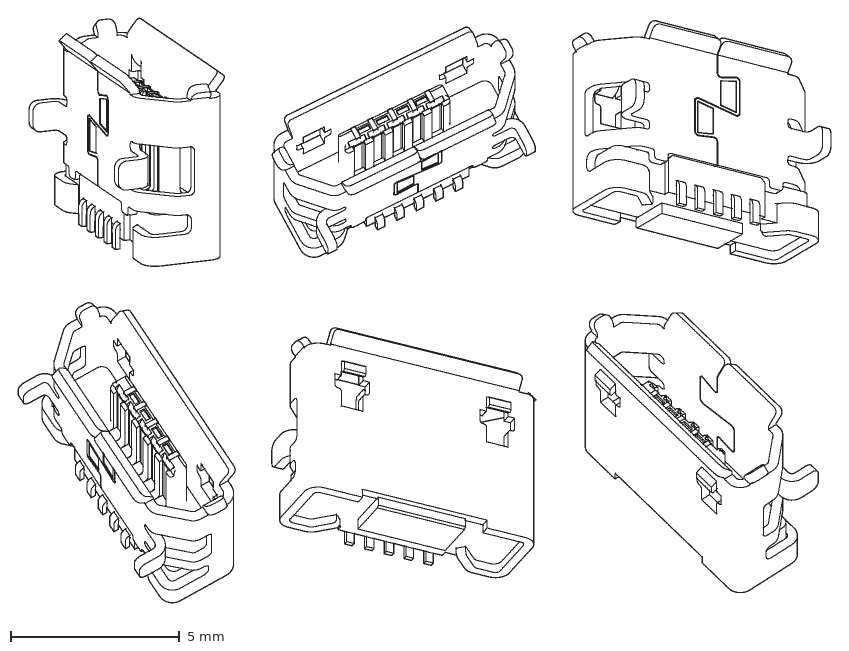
import cadquery as cq
import math


sheet = 0.3
inner_bend = sheet / 2
outer_bend = inner_bend + sheet
half_width = 3.74
depth = 2.5
mouth_z = 5.0
plate_bottom = 1.49
bevel_x = 0.935
bevel_y = 0.99
bevel_turn = math.atan2(bevel_y, bevel_x)
plate_half_width = half_width - bevel_x - outer_bend * math.tan(bevel_turn / 2)

flare_angle = 39.0
flare_z = 5.04
lip_length = 0.48
ear_length = 0.3
back_lip_half_width = 3.1
front_lip_half_width = 2.45
back_lip_radius = 0.15
front_lip_radius = 0.19
ear_radius = 0.2
ear_y = (1.415, 2.03)

window_z = (2.08, 3.58)
window_back_y = 1.53
slot_height = 0.3
slot_end_x = 2.45
slot_radius = 0.1

leg_outer_x = 3.46
leg_tip_y = -0.79
leg_tip_radius = 0.25

arm_top = 0.895
arm_bend_x = 2.625
arm_end_x = 2.01
arm_tip_radius = 0.125
arm_window_back_y = 1.43
arm_window_radius = 0.2
skirt_notch_half_width = 2.04

tab_x = (1.79, 2.27)
tab_bottom = 1.195
tab_radius = 0.1

seam_gap = 0.02
seam_x = -0.05
seam_bend = 0.11
seam_right_x = 0.75
seam_left_x = -0.84
coin_depth = 0.03

latch_x = 2.38
latch_width = 0.71
latch_wide_width = 1.13
latch_z = (2.99, 4.58)
latch_wide_z = (3.585, 4.05)
latch_corner_radius = 0.1

block_half_width = half_width - sheet
block_back_y = depth - sheet
block_bottom = 0.275
block_radius = 0.26
nose_half_width = 1.71
nose_front_y = 0.1
nose_chamfer = 0.14
boss_half_width = 1.43
boss_front_y = 0.895
boss_back_y = 2.295
boss_chamfer = 0.06
foot_bottom = -0.06

tongue_half_width = 1.745
tongue_y = (1.32, 1.93)
tongue_top = 4.2
tongue_radius = 0.11
tongue_base_fillet = 0.15
tip_back_chamfer = 0.1
tip_front_y = 1.565
tip_front_radius = 0.12
tip_shoulder_drop = 0.16
tip_side_radius = 0.1
rib_slope_drop = 0.08
ramp_width = 0.55
ramp_front_y = 1.46
ramp_drop = 0.315
groove_width = 0.38
groove_floor_y = 1.44
tip_pocket_x = (0.34, 0.96)
tip_pocket_width = 0.36
tip_pocket_y = (1.635, 1.785)
tip_pocket_depth = 0.1

contact_pitch = 0.65
contact_width = 0.25
contact_sheet = 0.15
contact_bend = 0.1
foot_front_y = -0.05
tail_top = 0.75
blade_top = tongue_top - ramp_drop
hook_places = (-1.235, -0.66, 0.0, 0.66, 1.235)
hook_width = 0.15
hook_y = (1.55, 1.92)


def box(x_range, y_range, z_range):
    """Box between two corner planes along each axis."""
    size = [high - low for low, high in (x_range, y_range, z_range)]
    return cq.Workplane("XY").box(*size, centered=False).translate((x_range[0], y_range[0], z_range[0]))


def mirrored(body):
    """The body together with its mirror image across X = 0."""
    return body.union(body.mirror("YZ"))


def rounded_outline(plane, corners):
    """Closed outline through (u, v, radius) corners, each rounded by a tangent arc."""
    outline = None
    count = len(corners)
    for index, (u, v, radius) in enumerate(corners):
        corner = cq.Vector(u, v)
        to_last = (cq.Vector(*corners[index - 1][:2]) - corner).normalized()
        to_next = (cq.Vector(*corners[(index + 1) % count][:2]) - corner).normalized()
        half_angle = to_last.getAngle(to_next) / 2
        reach = radius / math.tan(half_angle)
        bisector = (to_last + to_next).normalized()
        start = (corner + to_last * reach).toTuple()[:2]
        middle = (corner + bisector * (radius / math.sin(half_angle) - radius)).toTuple()[:2]
        end = (corner + to_next * reach).toTuple()[:2]
        outline = plane.moveTo(*start) if outline is None else outline.lineTo(*start)
        if radius > 0:
            outline = outline.threePointArc(middle, end)
    return outline.close()


def bent_sheet(plane, path, thickness, bend_radius):
    """Outline of a sheet whose middle line follows the path, with the given inner bend radius."""
    points = [cq.Vector(*point) for point in path]
    headings = [(b - a).normalized() for a, b in zip(points, points[1:])]
    left_side = []
    right_side = []
    for index, point in enumerate(points):
        before = headings[max(index - 1, 0)]
        after = headings[min(index, len(headings) - 1)]
        turn = before.cross(after).z
        mitre = cq.Vector(-before.y - after.y, before.x + after.x)
        offset = mitre * (thickness / (1 + before.dot(after)) / 2)
        left_radius = right_radius = 0
        if abs(turn) > 0:
            left_radius = bend_radius if turn > 0 else bend_radius + thickness
            right_radius = bend_radius + thickness if turn > 0 else bend_radius
        left_side.append((point.x + offset.x, point.y + offset.y, left_radius))
        right_side.append((point.x - offset.x, point.y - offset.y, right_radius))
    return rounded_outline(plane, left_side + right_side[::-1])


def shell_sleeve():
    """Closed sleeve with beveled front corners, above the insulator block."""
    corners = [
        (-half_width, depth, outer_bend),
        (-half_width, bevel_y, outer_bend),
        (bevel_x - half_width, 0, outer_bend),
        (half_width - bevel_x, 0, outer_bend),
        (half_width, bevel_y, outer_bend),
        (half_width, depth, outer_bend),
    ]
    height = mouth_z - plate_bottom
    plane = cq.Workplane("XY").workplane(offset=plate_bottom)
    outside = rounded_outline(plane, corners).extrude(height)
    inside = rounded_outline(plane, corners).offset2D(-sheet).extrude(height)
    return outside.cut(inside)


def shell_skirt():
    """Lower walls whose front arms wrap round the insulator and bend back into it."""
    middle = sheet / 2
    side_x = half_width - middle
    end_y = middle + arm_bend_x - arm_end_x
    half_path = [
        (arm_end_x, end_y),
        (arm_bend_x, middle),
        (side_x, middle),
        (side_x, depth - middle),
    ]
    path = half_path + [(-x, y) for x, y in half_path[::-1]]
    skirt = bent_sheet(cq.Workplane("XY"), path, sheet, inner_bend).extrude(plate_bottom)
    side_window = box((-half_width, half_width), (-sheet, arm_window_back_y), (arm_top, plate_bottom))
    skirt = skirt.cut(side_window.edges("|X and >Y").fillet(arm_window_radius))
    notch_x = (-skirt_notch_half_width, skirt_notch_half_width)
    skirt = skirt.cut(box(notch_x, (block_back_y, depth), (0, block_bottom)))
    arm_ends = cq.selectors.BoxSelector(
        (-arm_end_x - 0.08, end_y - 0.08, -0.08), (arm_end_x + 0.08, end_y + 0.08, 0.08)
    )
    return skirt.edges(arm_ends).fillet(arm_tip_radius)


def flared_lip(length, half_span, corner_radius):
    """Sheet lip in the YZ plane that leans outward (+Y) from a wall with its outer face on Y = 0."""
    lean = math.radians(flare_angle)
    middle = sheet / 2
    bend_z = flare_z + middle * math.tan(lean / 2)
    run = length + middle * math.tan(lean / 2)
    tip = (-middle + run * math.sin(lean), bend_z + run * math.cos(lean))
    path = [(-middle, mouth_z - sheet / 4), (-middle, bend_z), tip]
    lip = bent_sheet(cq.Workplane("YZ"), path, sheet, 0).extrude(half_span, both=True)
    tip_corners = cq.selectors.BoxSelector(
        (-half_span - 0.08, tip[0] - middle, tip[1] - middle), (half_span + 0.08, tip[0] + middle, tip[1] + middle)
    )
    tip_edges = lip.edges(tip_corners).edges("not(|X)")
    return tip_edges.fillet(corner_radius)


def shell_lips():
    """Flared lips round the mouth: one at the back, a split pair in front, an ear on each side."""
    back = flared_lip(lip_length, back_lip_half_width, back_lip_radius).translate((0, depth, 0))
    lips = [back]
    for start, end in (
        (-front_lip_half_width, seam_x - seam_gap / 2),
        (seam_x + seam_gap / 2, front_lip_half_width),
    ):
        front = flared_lip(lip_length, (end - start) / 2, front_lip_radius)
        lips.append(front.mirror("XZ").translate(((start + end) / 2, 0, 0)))
    ear_half_span = (ear_y[1] - ear_y[0]) / 2
    ear = flared_lip(ear_length, ear_half_span, ear_radius)
    for turn, side in ((90, -1), (-90, 1)):
        turned = ear.rotate((0, 0, 0), (0, 0, 1), turn)
        lips.append(turned.translate((side * half_width, sum(ear_y) / 2, 0)))
    return lips


def side_opening():
    """Left side window and the two slots beside the leg."""
    window = box((-half_width, -plate_half_width), (-sheet, window_back_y), window_z)
    opening = window.edges("|X and >Y").fillet(inner_bend)
    for slot_bottom in (window_z[0], window_z[1] - slot_height):
        slot = box((-half_width, -slot_end_x), (-sheet, 2 * sheet), (slot_bottom, slot_bottom + slot_height))
        opening = opening.union(slot.edges("|Y and >X").fillet(slot_radius))
    return opening


def shell_leg():
    """Left mounting leg: a strip of the front plate bent forward."""
    leg_x = -leg_outer_x + sheet / 2
    path = [(-slot_end_x, sheet / 2), (leg_x, sheet / 2), (leg_x, leg_tip_y)]
    bottom = window_z[0] + slot_height
    plane = cq.Workplane("XY").workplane(offset=bottom)
    leg = bent_sheet(plane, path, sheet, inner_bend).extrude(window_z[1] - slot_height - bottom)
    return leg.faces("<Y").edges("|X").fillet(leg_tip_radius)


def shell_tab():
    """Left tab that hangs below the front plate, with rounded roots and corners."""
    left, right = -tab_x[1], -tab_x[0]
    root_z = plate_bottom + tab_radius
    corners = [
        (left - 2 * tab_radius, root_z, 0),
        (left - 2 * tab_radius, plate_bottom, 0),
        (left, plate_bottom, tab_radius),
        (left, tab_bottom, tab_radius),
        (right, tab_bottom, tab_radius),
        (right, plate_bottom, tab_radius),
        (right + 2 * tab_radius, plate_bottom, 0),
        (right + 2 * tab_radius, root_z, 0),
    ]
    return rounded_outline(cq.Workplane("XZ"), corners).extrude(-sheet)


def seam():
    """Dovetailed gap that splits the front plate."""
    path = [
        (seam_x, mouth_z + sheet),
        (seam_x, 4.315),
        (seam_right_x, 4.495),
        (seam_right_x, 3.215),
        (seam_left_x, 3.52),
        (seam_left_x, 2.28),
        (seam_x, 2.37),
        (seam_x, plate_bottom),
    ]
    return bent_sheet(cq.Workplane("XZ"), path, seam_gap, seam_bend).extrude(-sheet)


def coined_pads():
    """Shallow trapezoid recesses in the two dovetails."""
    right_pad = [(0.08, 4.24), (0.64, 4.355), (0.64, 3.35), (0.08, 3.46)]
    left_pad = [(-0.74, 3.395), (-0.18, 3.285), (-0.18, 2.47), (-0.74, 2.39)]
    pads = cq.Workplane("XZ").polyline(right_pad).close().polyline(left_pad).close()
    return pads.extrude(-coin_depth)


def latch_opening():
    """Right latch opening of the back wall, with its wider middle stretch."""
    left_half = [
        (-latch_width / 2, latch_z[1], 0),
        (-latch_width / 2, latch_wide_z[1], 0),
        (-latch_wide_width / 2, latch_wide_z[1], 0),
        (-latch_wide_width / 2, latch_wide_z[0], latch_corner_radius),
        (-latch_width / 2, latch_wide_z[0], latch_corner_radius),
        (-latch_width / 2, latch_z[0], 0),
    ]
    right_half = [(-x, z, radius) for x, z, radius in left_half[::-1]]
    opening = rounded_outline(cq.Workplane("XZ"), left_half + right_half).extrude(-sheet)
    return opening.translate((latch_x, block_back_y, 0))


def latch_lip():
    """Right lip that curls outward from the top of the latch opening."""
    top = latch_z[1]
    profile = (
        cq.Workplane("YZ")
        .moveTo(block_back_y, top)
        .lineTo(depth, top)
        .lineTo(depth, top - 0.04)
        .lineTo(depth + 0.205, top - 0.16)
        .lineTo(depth + 0.205, top - 0.41)
        .lineTo(depth + 0.14, top - 0.47)
        .lineTo(depth, top - 0.41)
        .threePointArc((block_back_y + 0.1, top - 0.235), (block_back_y, top))
        .close()
    )
    return profile.extrude(latch_width).translate((latch_x - latch_width / 2, 0, 0))


def make_shell():
    shell = shell_sleeve().cut(mirrored(side_opening())).cut(mirrored(latch_opening()))
    shell = shell.cut(seam()).cut(coined_pads())
    shell = shell.union(shell_skirt())
    for part in (*shell_lips(), mirrored(shell_leg()), mirrored(shell_tab()), mirrored(latch_lip())):
        shell = shell.union(part)
    return shell


def make_contact(x, hook_x):
    """Strip that runs from the solder foot through the block and up the tongue, ending in a narrow hook."""
    foot_y = foot_front_y + contact_sheet / 2
    tail_z = tail_top - contact_sheet / 2
    blade_y = groove_floor_y + contact_sheet / 2
    path = [(foot_y, foot_bottom), (foot_y, tail_z), (blade_y, tail_z), (blade_y, blade_top)]
    strip = bent_sheet(cq.Workplane("YZ"), path, contact_sheet, contact_bend)
    strip = strip.extrude(contact_width / 2, both=True).translate((x, 0, 0))
    hook_x_range = (hook_x - hook_width / 2, hook_x + hook_width / 2)
    return strip.union(box(hook_x_range, hook_y, (blade_top - contact_sheet / 2, tongue_top)))


def insulator_block():
    """Block that fills the shell skirt, with a nose in front and a boss below."""
    block = (
        box((-block_half_width, block_half_width), (sheet, block_back_y), (block_bottom, plate_bottom))
        .edges("|Z").fillet(block_radius)
    )
    nose = box((-nose_half_width, nose_half_width), (nose_front_y, sheet), (block_bottom, plate_bottom))
    nose = nose.edges("|Y and >Z").chamfer(nose_chamfer)
    boss_profile = [
        (boss_front_y, block_bottom),
        (boss_front_y, foot_bottom),
        (boss_back_y - boss_chamfer, foot_bottom),
        (boss_back_y, 0),
        (boss_back_y, block_bottom),
    ]
    boss = cq.Workplane("YZ").polyline(boss_profile).close().extrude(boss_half_width, both=True)
    return block.union(nose).union(boss)


def tongue():
    """Tongue with a rounded and bevelled tip."""
    front_y, back_y = tongue_y
    body = box((-tongue_half_width, tongue_half_width), tongue_y, (plate_bottom, tongue_top))
    body = body.edges("|Z").fillet(tongue_radius)
    shoulder_z = tongue_top - tip_shoulder_drop
    side_profile = [
        (front_y, plate_bottom, 0),
        (front_y, shoulder_z - rib_slope_drop, 0),
        (groove_floor_y, shoulder_z, 0),
        (groove_floor_y, tongue_top, tip_front_radius),
        (back_y - tip_back_chamfer, tongue_top, 0),
        (back_y, tongue_top - tip_back_chamfer, 0),
        (back_y, plate_bottom, 0),
    ]
    side_shape = rounded_outline(cq.Workplane("YZ"), side_profile).extrude(tongue_half_width, both=True)
    front_profile = [
        (-tongue_half_width, plate_bottom, 0),
        (-tongue_half_width, tongue_top, tip_side_radius),
        (tongue_half_width, tongue_top, tip_side_radius),
        (tongue_half_width, plate_bottom, 0),
    ]
    front_shape = rounded_outline(cq.Workplane("XZ"), front_profile).extrude(-depth)
    return body.intersect(side_shape).intersect(front_shape)


def contact_relief(x):
    """Groove along the tongue for one contact, with a wider ramp at the tip."""
    groove_x = (x - groove_width / 2, x + groove_width / 2)
    open_y = tongue_y[0] - 2 * tongue_base_fillet
    groove = box(groove_x, (open_y, groove_floor_y), (plate_bottom, tongue_top))
    ramp_bottom = tongue_top - ramp_drop
    ramp_profile = [
        (groove_floor_y, ramp_bottom),
        (ramp_front_y, ramp_bottom),
        (tip_front_y, tongue_top),
        (groove_floor_y, tongue_top),
    ]
    ramp = cq.Workplane("YZ").polyline(ramp_profile).close().extrude(ramp_width / 2, both=True)
    return groove.union(ramp.translate((x, 0, 0)))


def make_insulator(contact_places, shell, contacts):
    """Block and tongue with a filleted joint, hollowed where the shell and the contacts pass."""
    insulator = insulator_block().union(tongue())
    foot_edges = cq.selectors.BoxSelector(
        (-tongue_half_width - 0.08, tongue_y[0] - 0.08, plate_bottom - 0.08),
        (tongue_half_width + 0.08, tongue_y[1] + 0.08, plate_bottom + 0.08),
        boundingbox=True,
    )
    insulator = insulator.edges(foot_edges).fillet(tongue_base_fillet)
    for x in contact_places:
        insulator = insulator.cut(contact_relief(x))
    for x in tip_pocket_x:
        pocket_x = (x - tip_pocket_width / 2, x + tip_pocket_width / 2)
        pocket = box(pocket_x, tip_pocket_y, (tongue_top - tip_pocket_depth, tongue_top))
        insulator = insulator.cut(mirrored(pocket))
    for neighbour in (shell, *contacts):
        insulator = insulator.cut(neighbour)
    return insulator


shell = make_shell()
contact_places = [(index - 2) * contact_pitch for index in range(len(hook_places))]
contacts = [make_contact(x, hook_x) for x, hook_x in zip(contact_places, hook_places)]
insulator = make_insulator(contact_places, shell, contacts)

result = cq.Compound.makeCompound([shell.val(), insulator.val(), *[contact.val() for contact in contacts]])